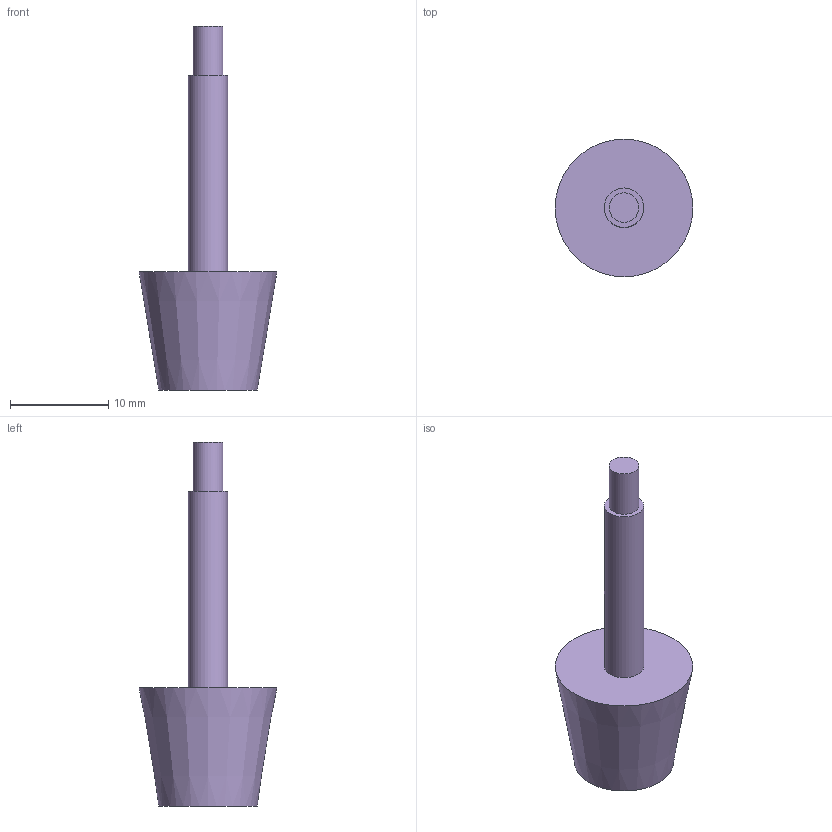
import cadquery as cq

head_bottom_diameter = 10.0
head_top_diameter = 14.0
head_height = 12.0

stem_diameter = 4.0
stem_length = 20.0

tip_diameter = 3.0
tip_length = 5.0

stem_top = head_height + stem_length
tip_top = stem_top + tip_length


def turned_profile():
    """Half section in the XZ plane, on the +X side of the axis."""
    return (
        cq.Workplane("XZ")
        .moveTo(0, 0)
        .lineTo(head_bottom_diameter / 2, 0)
        .lineTo(head_top_diameter / 2, head_height)
        .lineTo(stem_diameter / 2, head_height)
        .lineTo(stem_diameter / 2, stem_top)
        .lineTo(tip_diameter / 2, stem_top)
        .lineTo(tip_diameter / 2, tip_top)
        .lineTo(0, tip_top)
        .close()
    )


result = turned_profile().revolve(360, (0, 0, 0), (0, 1, 0))